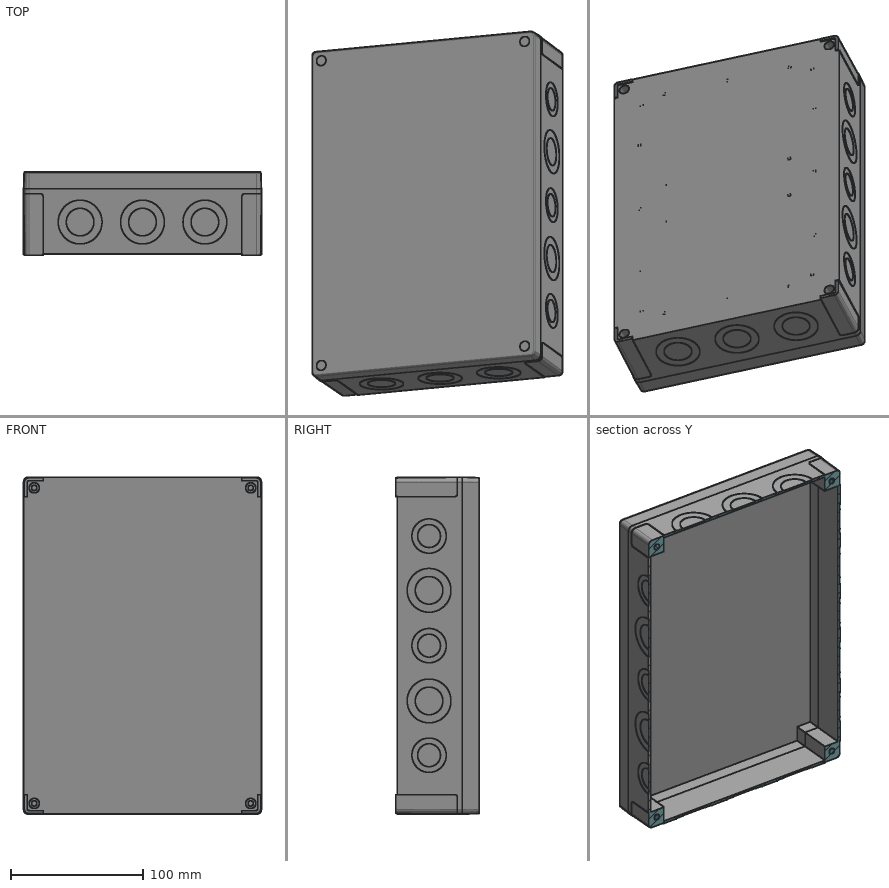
import cadquery as cq
import math

WIDTH = 180.0
LENGTH = 255.0
DEPTH = 63.3
CORNER_RADIUS = 3.8
MIN_CORNER_RADIUS = 1.3
WALL = 2.5

FRONT_Y = DEPTH / 2
FEET_Y = -DEPTH / 2
LID_HEIGHT = 12.8
JOINT_Y = FRONT_Y - LID_HEIGHT
FOOT_HEIGHT = 1.0
FLOOR_Y = FEET_Y + FOOT_HEIGHT

LID_DRAFT = 2.0
LID_EDGE_RADIUS = 1.0

PANEL_SIZE = 14.8
PANEL_TOP_Y = FRONT_Y - 16.5
PANEL_CORNER_RADIUS = 2.0
PANEL_DEPTH_TOP = 0.3
PANEL_DEPTH_FOOT = 0.65
FOOT_INNER_OFFSET = 2.8

SCREW_INSET = 8.2
POST_SIZE = PANEL_SIZE
SCREW_SHANK_RADIUS = 2.0
SCREW_HEAD_RADIUS = 3.8
SCREW_HEAD_HEIGHT = 3.8
REAR_BORE_RADIUS = 3.8
REAR_BORE_DEPTH = 10.2
SCREW_TIP_Y = FLOOR_Y + REAR_BORE_DEPTH

LARGE_KNOCKOUT = (16.5, 10.5)
SMALL_KNOCKOUT = (13.0, 8.7)
KNOCKOUT_STEP = 0.3
KNOCKOUT_Y = FRONT_Y - 38.0
END_WALL_PITCH = 47.2
SIDE_LARGE_Z = 41.8
SIDE_SMALL_Z = 83.0

PILOT_RADIUS = 1.3
PILOT_SKIN = 1.0
PILOT_PLACES = [(68.0, 100.5), (70.0, 62.2), (70.0, 0.0), (50.0, 107.1), (49.7, 17.9), (0.0, 107.1)]

CORNERS = [(sx, sz) for sx in (-1, 1) for sz in (-1, 1)]


def plane_at(y):
    """Plane across the Y axis at the given y, whose normal points to +Y, with local axes along X and -Z."""
    return cq.Workplane(cq.Plane((0, y, 0), (1, 0, 0), (0, 1, 0)))


def rounded_block(inset, y_start, y_end, draft=0.0):
    """Block of the enclosure outline moved inwards by inset; draft narrows it towards y_end."""
    radius = max(CORNER_RADIUS - inset, MIN_CORNER_RADIUS)
    outline = cq.Sketch().rect(WIDTH - 2 * inset, LENGTH - 2 * inset).vertices().fillet(radius)
    return plane_at(y_start).placeSketch(outline).extrude(y_end - y_start, taper=draft)


def corner_block(side_x, side_z, size, y_start, y_end):
    """Square block filling one corner of the enclosure outline."""
    centre = (side_x * (WIDTH - size) / 2, -side_z * (LENGTH - size) / 2)
    return plane_at(y_start).center(*centre).rect(size, size).extrude(y_end - y_start)


def screw_cylinder(side_x, side_z, radius, y_start, y_end):
    """Cylinder on the axis of one lid screw."""
    centre = (side_x * (WIDTH / 2 - SCREW_INSET), -side_z * (LENGTH / 2 - SCREW_INSET))
    return plane_at(y_start).center(*centre).circle(radius).extrude(y_end - y_start)


def cavity(y_start, y_end):
    """Inside space between the walls, leaving a post in every corner."""
    space = rounded_block(WALL, y_start, y_end)
    for side_x, side_z in CORNERS:
        space = space.cut(corner_block(side_x, side_z, POST_SIZE, y_start, y_end))
    return space


def screw(side_x, side_z):
    """Lid screw: head flush with the lid, shank down to the rear bore of the base."""
    head_y = FRONT_Y - SCREW_HEAD_HEIGHT
    shank = screw_cylinder(side_x, side_z, SCREW_SHANK_RADIUS, SCREW_TIP_Y, head_y)
    return shank.union(screw_cylinder(side_x, side_z, SCREW_HEAD_RADIUS, head_y, FRONT_Y))


def corner_zone(side_x, side_z):
    """Space of one corner panel, with its two visible upper corners rounded."""
    zone = corner_block(side_x, side_z, PANEL_SIZE, FEET_Y, PANEL_TOP_Y)
    inner_x = "<X" if side_x > 0 else ">X"
    inner_z = "<Z" if side_z > 0 else ">Z"
    top_edges = zone.faces(">Y").edges(inner_x).add(zone.faces(">Y").edges(inner_z))
    return top_edges.fillet(PANEL_CORNER_RADIUS)


def panel_core():
    """Drafted block whose sides are the sunk panel faces; it narrows towards the feet."""
    length = PANEL_TOP_Y - FEET_Y
    draft = math.degrees(math.atan((PANEL_DEPTH_FOOT - PANEL_DEPTH_TOP) / length))
    return rounded_block(PANEL_DEPTH_FOOT, FEET_Y, PANEL_TOP_Y, -draft)


def feet_ring():
    """Low rim behind the floor from which the L-shaped feet are taken."""
    return rounded_block(0, FEET_Y, FLOOR_Y).cut(rounded_block(FOOT_INNER_OFFSET, FEET_Y, FLOOR_Y))


def knockout(wall_centre, outward, radii):
    """Two-step circular recess in a wall; outward is the wall's outer normal."""
    outer_radius, inner_radius = radii
    centre = cq.Vector(*wall_centre)
    inward = cq.Vector(*outward) * -1
    outer = cq.Solid.makeCylinder(outer_radius, KNOCKOUT_STEP, centre, inward)
    inner = cq.Solid.makeCylinder(inner_radius, 2 * KNOCKOUT_STEP, centre, inward)
    return outer.fuse(inner)


def all_knockouts():
    """Three large knockouts per end wall; two large and three small ones per side wall."""
    recesses = []
    for side in (-1, 1):
        for x in (-END_WALL_PITCH, 0, END_WALL_PITCH):
            centre = (x, KNOCKOUT_Y, side * LENGTH / 2)
            recesses.append(knockout(centre, (0, 0, side), LARGE_KNOCKOUT))
        for z in (-SIDE_LARGE_Z, SIDE_LARGE_Z):
            centre = (side * WIDTH / 2, KNOCKOUT_Y, z)
            recesses.append(knockout(centre, (side, 0, 0), LARGE_KNOCKOUT))
        for z in (-SIDE_SMALL_Z, 0, SIDE_SMALL_Z):
            centre = (side * WIDTH / 2, KNOCKOUT_Y, z)
            recesses.append(knockout(centre, (side, 0, 0), SMALL_KNOCKOUT))
    return recesses


def pilot_holes():
    """Blind holes in the floor, mirrored into all four quadrants."""
    places = {(sx * x, sz * z) for x, z in PILOT_PLACES for sx, sz in CORNERS}
    start = plane_at(FLOOR_Y + PILOT_SKIN).pushPoints(sorted(places))
    return start.circle(PILOT_RADIUS).extrude(WALL)


def make_base(screws):
    """Hollow base with corner panels, feet, rear bores, knockouts and screw holes."""
    base = rounded_block(0, FLOOR_Y, JOINT_Y).cut(cavity(FLOOR_Y + WALL, JOINT_Y))
    core = panel_core()
    feet = feet_ring()
    for side_x, side_z in CORNERS:
        zone = corner_zone(side_x, side_z)
        base = base.cut(zone.cut(core))
        base = base.union(zone.intersect(core).intersect(feet))
        base = base.cut(screw_cylinder(side_x, side_z, REAR_BORE_RADIUS, FLOOR_Y, SCREW_TIP_Y))
    for recess in all_knockouts():
        base = base.cut(cq.Workplane(recess))
    base = base.cut(pilot_holes())
    for body in screws:
        base = base.cut(body)
    return base


def make_lid(screws):
    """Drafted hollow lid with a rounded front edge and stepped screw holes."""
    lid = rounded_block(0, JOINT_Y, FRONT_Y, LID_DRAFT)
    lid = lid.faces(">Y").edges().fillet(LID_EDGE_RADIUS)
    lid = lid.cut(cavity(JOINT_Y, FRONT_Y - WALL))
    for body in screws:
        lid = lid.cut(body)
    return lid


screws = [screw(side_x, side_z) for side_x, side_z in CORNERS]
base = make_base(screws)
lid = make_lid(screws)

result = cq.Compound.makeCompound(
    [base.solids().val(), lid.solids().val(), *[body.solids().val() for body in screws]]
)